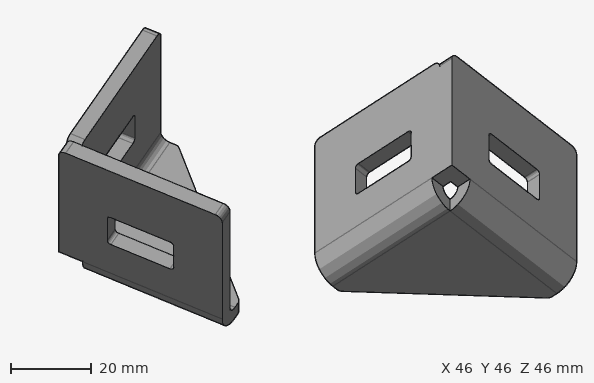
import cadquery as cq

SIZE = 46.0
THICKNESS = 4.15
INNER_BEND = 2.55
CORNER_RADIUS = 2.0
SLOT_LENGTH = 18.65
SLOT_HEIGHT = 10.4
SLOT_RADIUS = 1.0
GUSSET_EDGE = 9.05

OUTER_BEND = THICKNESS + INNER_BEND
CENTER = SIZE / 2


def flange(wall_start):
    """Slotted upright wall on the Y = 0 side, with the bend that joins it to the base."""
    wall = (
        cq.Workplane("XY")
        .box(SIZE - wall_start, THICKNESS, SIZE - OUTER_BEND, centered=False)
        .translate((wall_start, 0, OUTER_BEND))
        .edges("|Y and >Z")
        .fillet(CORNER_RADIUS)
    )
    slot = (
        cq.Workplane("XY")
        .box(SLOT_LENGTH, 2 * THICKNESS, SLOT_HEIGHT)
        .edges("|Y")
        .fillet(SLOT_RADIUS)
        .translate((CENTER, THICKNESS / 2, CENTER))
    )

    bend_block = cq.Workplane("XY").box(SIZE - OUTER_BEND, OUTER_BEND, OUTER_BEND, centered=False)
    bend = (
        cq.Workplane("YZ")
        .center(OUTER_BEND, OUTER_BEND)
        .circle(OUTER_BEND)
        .circle(INNER_BEND)
        .extrude(SIZE - OUTER_BEND)
        .intersect(bend_block)
        .translate((OUTER_BEND, 0, 0))
    )
    return wall.cut(slot).union(bend)


def swap_x_and_y(body):
    """Reflect a body across the vertical plane X = Y."""
    return body.rotate((0, 0, 0), (0, 0, 1), 90).mirror("YZ")


def base_plate():
    """Flat base with its far corner cut off along a rounded diagonal."""
    plate = (
        cq.Workplane("XY")
        .polyline([
            (OUTER_BEND, OUTER_BEND),
            (SIZE, OUTER_BEND),
            (SIZE, GUSSET_EDGE),
            (GUSSET_EDGE, SIZE),
            (OUTER_BEND, SIZE),
        ])
        .close()
        .extrude(THICKNESS)
    )
    return plate.faces(">(1, 1, 0)").edges("|Z").fillet(CORNER_RADIUS)


front_flange = flange(0)
side_flange = swap_x_and_y(flange(THICKNESS))

result = base_plate().union(front_flange).union(side_flange)